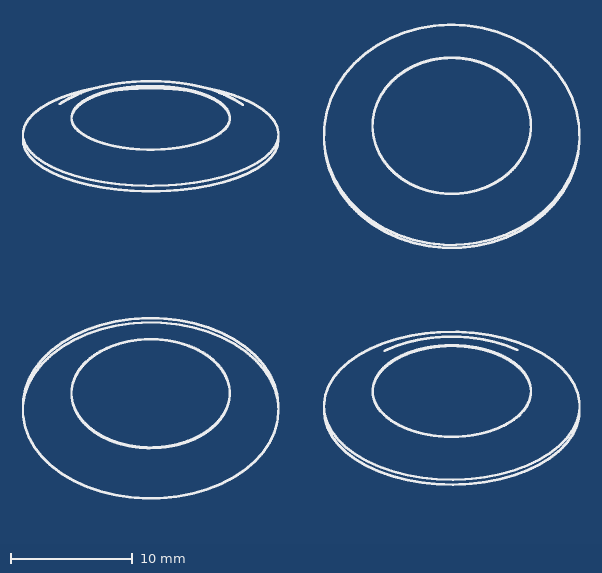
import cadquery as cq

outer_diameter = 21.0
total_height = 2.0
rim_height = 0.5

hole_diameter = 13.0
crown_diameter = 14.38

blend_diameter = 17.39
blend_height = 1.25

shoulder_bulge = 0.15
flare_bulge = 0.08

lip_thickness = 0.1

outer_radius = outer_diameter / 2
hole_radius = hole_diameter / 2
crown_radius = crown_diameter / 2
blend_radius = blend_diameter / 2
underside_height = total_height - lip_thickness


def dished_ring():
    """Revolve the half section about Z; the underside is a plain cone up to the lip."""
    section = (
        cq.Workplane("XZ")
        .moveTo(outer_radius, 0)
        .lineTo(outer_radius, rim_height)
        .sagittaArc((blend_radius, blend_height), flare_bulge)
        .sagittaArc((crown_radius, total_height), -shoulder_bulge)
        .lineTo(hole_radius, total_height)
        .lineTo(hole_radius, underside_height)
        .close()
    )
    return section.revolve(360, (0, 0, 0), (0, 1, 0))


result = dished_ring()